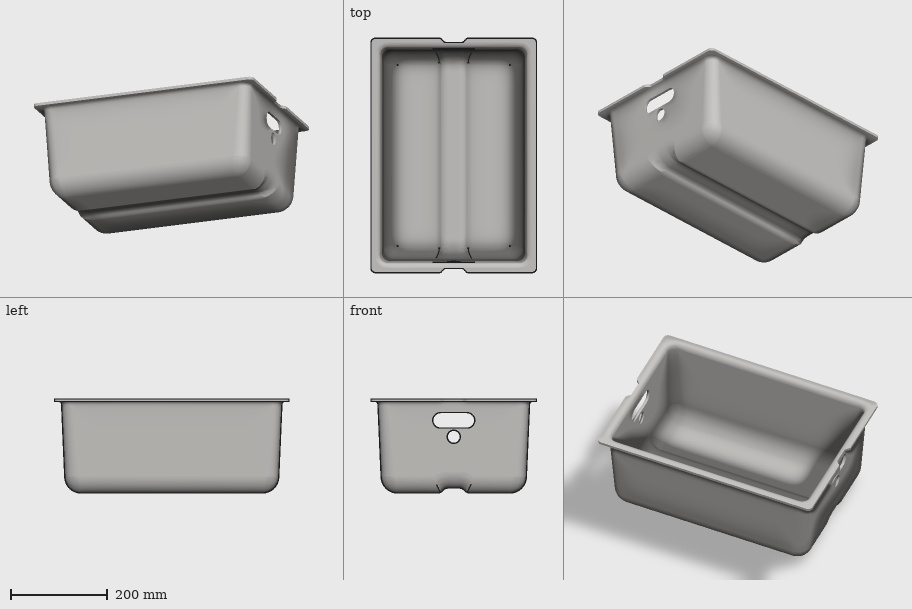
import cadquery as cq
import math

WIDTH = 343.0
LENGTH = 485
HEIGHT = 195.0
SHEET = 6.0

RIM_MARGIN = 14.0
DRAFT = 2.5
CORNER_TOP = 20.5
CORNER_BASE = 28.5
FLOOR_FILLET = 35.0
FLOOR_CORNER = 0.5
FLOOR_SECTIONS = 30
RIM_FILLET = 5.0

FLANGE_CORNER = 10.0
NOTCH_DEPTH = 8.5
NOTCH_INNER_HALF = 19.0
NOTCH_OUTER_HALF = 27.5
NOTCH_FILLET = 4.5

CHANNEL_RISE = 10.0
CHANNEL_ROOF_HALF = 11.5
CHANNEL_FOOT_HALF = 34.0
CHANNEL_ROOF_RADIUS = 14.0

SLOT_LENGTH = 86.5
SLOT_HEIGHT = 31.5
SLOT_Z = 150.5
HOLE_DIAMETER = 26.5
HOLE_Z = 116.5

CROSSING = LENGTH

draft = math.radians(DRAFT)
wall_slope = math.tan(draft)
channel_run = CHANNEL_FOOT_HALF - CHANNEL_ROOF_HALF
channel_angle = 2 * math.atan2(CHANNEL_RISE, channel_run)
channel_foot_radius = channel_run / math.sin(channel_angle) - CHANNEL_ROOF_RADIUS


def wall_half(span, inset, z):
    """Half distance between opposite walls of the skin at height z."""
    return span / 2 - RIM_MARGIN - inset - (HEIGHT - z) * wall_slope


def rounded_rectangle(half_x, half_y, radius, z=0):
    sketch = cq.Sketch().rect(2 * half_x, 2 * half_y).vertices().fillet(radius)
    return sketch.moved(cq.Location(cq.Vector(0, 0, z)))


def wall_part(inset, base_z):
    """Straight drafted walls with conical upright corners, from the floor fillet to the top plane."""
    bottom = rounded_rectangle(
        wall_half(WIDTH, inset, base_z), wall_half(LENGTH, inset, base_z), CORNER_BASE - inset, base_z
    )
    top = rounded_rectangle(
        wall_half(WIDTH, inset, HEIGHT), wall_half(LENGTH, inset, HEIGHT), CORNER_TOP - inset, HEIGHT
    )
    return cq.Workplane("XY").placeSketch(bottom, top).loft()


def floor_part(inset, base_z):
    """Filleted floor whose corners sharpen from the wall corner radius to a point on the floor."""
    fillet = FLOOR_FILLET - inset
    base_corner = CORNER_BASE - inset
    full_step = fillet * math.cos(draft)
    sections = []
    for i in range(FLOOR_SECTIONS + 1):
        angle = draft + (math.pi / 2 - draft) * i / FLOOR_SECTIONS
        z = inset + fillet * (1 - math.sin(angle))
        step_in = fillet * (math.cos(draft) - math.cos(angle))
        drop = (base_z - z) / (base_z - inset)
        corner = base_corner - step_in + (full_step - base_corner) * drop
        sections.append(rounded_rectangle(
            wall_half(WIDTH, inset, base_z) - step_in,
            wall_half(LENGTH, inset, base_z) - step_in,
            max(corner, FLOOR_CORNER),
            z,
        ))
    return cq.Workplane("XY").placeSketch(*sections).loft()


def plain_tub(inset):
    """Tub solid before the channel is pressed into its floor."""
    base_z = inset + (FLOOR_FILLET - inset) * (1 - math.sin(draft))
    return wall_part(inset, base_z).union(floor_part(inset, base_z))


def channel_points(inset):
    """Right-hand S-curve: roof end, mid roof arc, joint, mid foot arc and foot end."""
    roof_radius = CHANNEL_ROOF_RADIUS + inset
    foot_radius = channel_foot_radius - inset
    roof_z = CHANNEL_RISE + inset

    def on_roof(angle):
        return (CHANNEL_ROOF_HALF + roof_radius * math.sin(angle), roof_z - roof_radius * (1 - math.cos(angle)))

    def on_foot(angle):
        return (CHANNEL_FOOT_HALF - foot_radius * math.sin(angle), inset + foot_radius * (1 - math.cos(angle)))

    half_angle = channel_angle / 2
    return on_roof(0), on_roof(half_angle), on_roof(channel_angle), on_foot(half_angle), on_foot(0)


def mirrored(point):
    return (-point[0], point[1])


def channel_void(inset):
    """Channel section below the roof, extruded along the whole floor."""
    roof, roof_mid, joint, foot_mid, foot = channel_points(inset)
    return (
        cq.Workplane("XZ")
        .moveTo(*mirrored(foot))
        .threePointArc(mirrored(foot_mid), mirrored(joint))
        .threePointArc(mirrored(roof_mid), mirrored(roof))
        .lineTo(*roof)
        .threePointArc(roof_mid, joint)
        .threePointArc(foot_mid, foot)
        .lineTo(foot[0], -HEIGHT)
        .lineTo(-foot[0], -HEIGHT)
        .close()
        .extrude(CROSSING, both=True)
    )


def channel_saddle(inset):
    """Everything above the channel, its sides running on down, with the floor fillet on both ends."""
    roof, roof_mid, joint, _, _ = channel_points(inset)
    side_x = WIDTH / 2
    side_z = joint[1] - (side_x - joint[0]) * math.tan(channel_angle)
    saddle = (
        cq.Workplane("XZ")
        .moveTo(-side_x, side_z)
        .lineTo(*mirrored(joint))
        .threePointArc(mirrored(roof_mid), mirrored(roof))
        .lineTo(*roof)
        .threePointArc(roof_mid, joint)
        .lineTo(side_x, side_z)
        .lineTo(side_x, HEIGHT)
        .lineTo(-side_x, HEIGHT)
        .close()
        .extrude(CROSSING, both=True)
    )
    low = wall_half(LENGTH, inset, side_z)
    high = wall_half(LENGTH, inset, HEIGHT)
    ends = (
        cq.Workplane("YZ")
        .polyline([(-low, side_z), (low, side_z), (high, HEIGHT), (-high, HEIGHT)])
        .close()
        .extrude(CROSSING, both=True)
    )
    saddle = saddle.intersect(ends)
    return saddle.faces("<Y or >Y").edges("not(>Z or <X or >X)").fillet(FLOOR_FILLET - inset)


def tub(inset):
    """Solid bounded by the tub skin lying the given distance inside the outer skin."""
    return plain_tub(inset).intersect(channel_saddle(inset)).cut(channel_void(inset))


def flange_notch():
    """Sloped recess in the -Y edge of the flange."""
    edge = -LENGTH / 2
    return (
        cq.Workplane("XY")
        .polyline([
            (-NOTCH_OUTER_HALF, edge),
            (-NOTCH_INNER_HALF, edge + NOTCH_DEPTH),
            (NOTCH_INNER_HALF, edge + NOTCH_DEPTH),
            (NOTCH_OUTER_HALF, edge),
        ])
        .close()
        .extrude(HEIGHT)
    )


def flange():
    plate = (
        cq.Workplane("XY").workplane(offset=HEIGHT - SHEET)
        .rect(WIDTH, LENGTH)
        .extrude(SHEET)
        .edges("|Z")
        .fillet(FLANGE_CORNER)
    )
    notch = flange_notch()
    plate = plate.cut(notch).cut(notch.mirror("XZ"))
    reach = NOTCH_OUTER_HALF + NOTCH_DEPTH
    notch_corners = cq.selectors.BoxSelector((-reach, -LENGTH, 0), (reach, LENGTH, HEIGHT))
    return plate.edges("|Z").edges(notch_corners).fillet(NOTCH_FILLET)


def end_wall_openings():
    slot = cq.Workplane("XZ").center(0, SLOT_Z).slot2D(SLOT_LENGTH, SLOT_HEIGHT).extrude(CROSSING, both=True)
    hole = cq.Workplane("XZ").center(0, HOLE_Z).circle(HOLE_DIAMETER / 2).extrude(CROSSING, both=True)
    return slot.union(hole)


def rim_edges(z):
    """Selects the loop where the tub walls meet a horizontal flange face."""
    reach_x = wall_half(WIDTH, 0, z) + RIM_FILLET
    reach_y = wall_half(LENGTH, 0, z) + RIM_FILLET
    band = SHEET / 4
    return cq.selectors.BoxSelector((-reach_x, -reach_y, z - band), (reach_x, reach_y, z + band))


outer = tub(0).union(flange())
outer = outer.edges(rim_edges(HEIGHT - SHEET)).fillet(RIM_FILLET)
shell = outer.cut(tub(SHEET))
shell = shell.edges(rim_edges(HEIGHT)).fillet(RIM_FILLET + SHEET)
result = shell.cut(end_wall_openings())